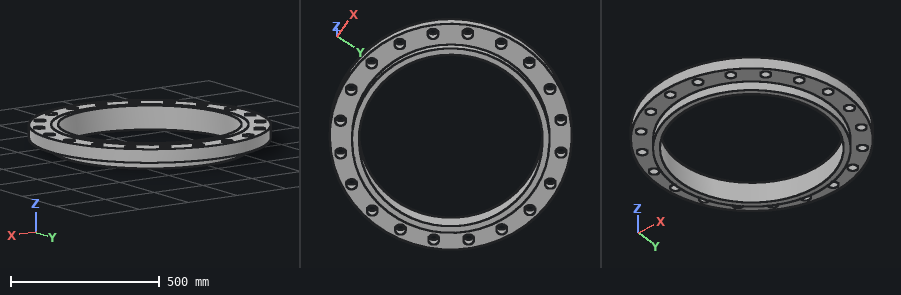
import cadquery as cq

flange_diameter = 813.0
flange_thickness = 46.0
total_height = 83.0
hub_diameter = 663.0
bore_diameter = 616.0
raised_face_height = 1.0
bolt_circle_diameter = 748.5
bolt_hole_diameter = 36.0
bolt_count = 20

bolt_pitch_angle = 360 / bolt_count
first_bolt_angle = bolt_pitch_angle / 2
hub_height = total_height - flange_thickness - raised_face_height


def stack_disc(body, diameter, height):
    """Add a concentric disc on the top face of the body."""
    return body.faces(">Z").workplane().circle(diameter / 2).extrude(height)


def make_body():
    """Hub, wider flange plate and thin raised face, stacked upward from Z = 0."""
    hub = cq.Workplane("XY").circle(hub_diameter / 2).extrude(hub_height)
    plate = stack_disc(hub, flange_diameter, flange_thickness)
    return stack_disc(plate, hub_diameter, raised_face_height)


def cut_bore(body):
    """Plain bore through the full height."""
    bore = cq.Workplane("XY").circle(bore_diameter / 2).extrude(total_height)
    return body.cut(bore)


def cut_bolt_holes(body):
    """Evenly spaced through holes in the flange plate."""
    holes = (
        cq.Workplane("XY")
        .polarArray(bolt_circle_diameter / 2, first_bolt_angle, 360, bolt_count)
        .circle(bolt_hole_diameter / 2)
        .extrude(total_height)
    )
    return body.cut(holes)


result = cut_bolt_holes(cut_bore(make_body()))